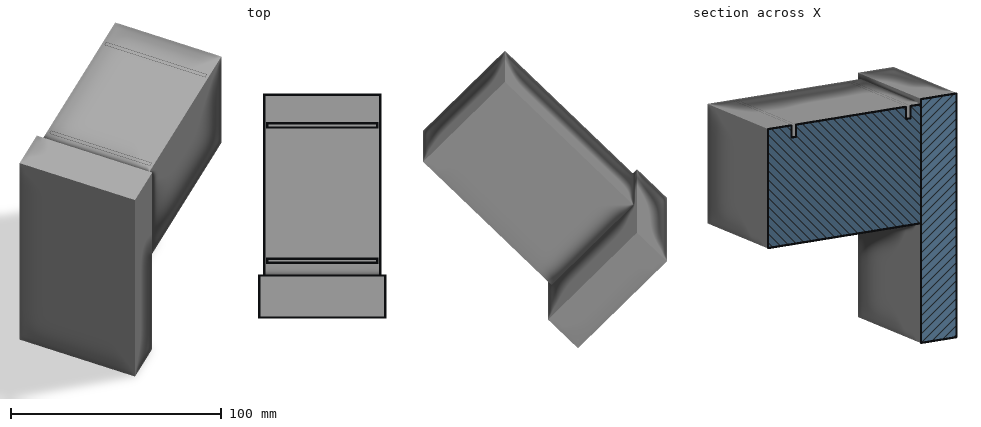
import cadquery as cq

PLATE_HEIGHT = 120.0
PLATE_WIDTH = PLATE_HEIGHT / 2
PLATE_THICKNESS = PLATE_HEIGHT / 6

BLOCK_WIDTH = 55.2
BLOCK_LENGTH = 85.8
BLOCK_HEIGHT = 58.7
BLOCK_TOP_DROP = 2.5

SLOT_WIDTH = 52.5
SLOT_THICKNESS = 2.2
SLOT_DEPTH = 6.0
SLOT_DISTANCES = (7.0, 71.2)
STRIP_CLEARANCE = 0.2

block_top = PLATE_HEIGHT - BLOCK_TOP_DROP


def box_below(width, length, height, middle, top):
    """Box centred on X, centred on `middle` along Y and hanging down from `top`."""
    return cq.Workplane("XY").box(width, length, height).translate((0, middle, top - height / 2))


def make_slot(distance):
    middle = PLATE_THICKNESS + distance
    return box_below(SLOT_WIDTH, SLOT_THICKNESS, SLOT_DEPTH, middle, block_top)


def make_strip(distance):
    width = SLOT_WIDTH - 2 * STRIP_CLEARANCE
    thickness = SLOT_THICKNESS - 2 * STRIP_CLEARANCE
    middle = PLATE_THICKNESS + distance
    return box_below(width, thickness, SLOT_DEPTH, middle, block_top)


def make_block():
    middle = PLATE_THICKNESS + BLOCK_LENGTH / 2
    block = box_below(BLOCK_WIDTH, BLOCK_LENGTH, BLOCK_HEIGHT, middle, block_top)
    for distance in SLOT_DISTANCES:
        block = block.cut(make_slot(distance))
    return block


plate = box_below(PLATE_WIDTH, PLATE_THICKNESS, PLATE_HEIGHT, PLATE_THICKNESS / 2, PLATE_HEIGHT)
block = make_block()
strips = [make_strip(distance) for distance in SLOT_DISTANCES]

result = cq.Compound.makeCompound([plate.val(), block.val(), *[strip.val() for strip in strips]])